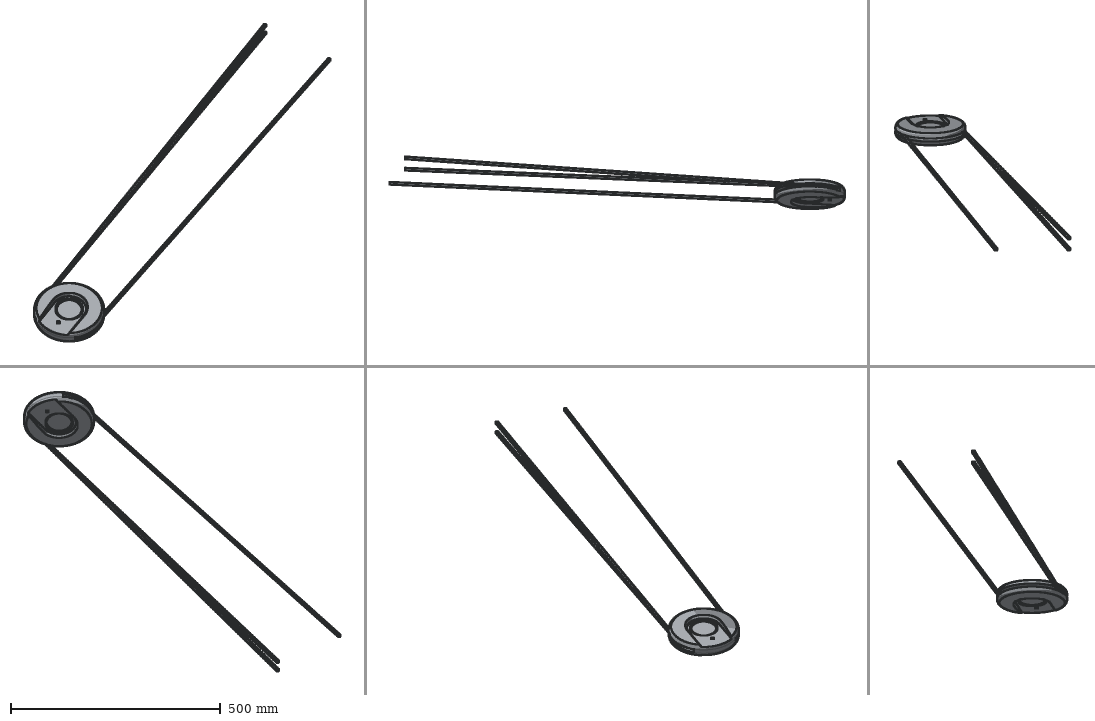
import cadquery as cq
import math

sheave_diameter = 168.0
face_diameter = 156.0
rim_half_height = 4.9
face_edge_half_height = 15.0
apex_half_height = 25.0
sheave_radius = sheave_diameter / 2
face_radius = face_diameter / 2
rim_edge_inset = sheave_radius - face_radius
rim_edge_height = face_edge_half_height - rim_half_height
rim_edge_radius = (rim_edge_inset**2 + rim_edge_height**2) / (2 * rim_edge_inset)

pocket_floor_half_height = 12.0
pocket_floor_radius = 40.0
pocket_top_radius = 48.0
recess_floor_diameter = 60.0
recess_top_diameter = 66.0
recess_depth = 2.0
pin_hole_diameter = 6.8
pin_hole_offset = 49.0
pin_hole_depth = 5.0

rope_diameter = 6.8
groove_width = 8.0
pitch_radius = 73.0
wrap_angle = 48
fleet_angle = 2.0
rise_angle = 0.8
rope_end_y = 1084 - sheave_radius
left_rope_rise = rope_end_y * math.tan(math.radians(rise_angle))

rope_radius = rope_diameter / 2
groove_radius = groove_width / 2


def polar(radius, angle):
    """Point in the XY plane at the given angle in degrees."""
    return (radius * math.cos(math.radians(angle)), radius * math.sin(math.radians(angle)))


def make_disc():
    profile = (
        cq.Workplane("XZ")
        .moveTo(0, -apex_half_height)
        .lineTo(face_radius, -face_edge_half_height)
        .radiusArc((sheave_radius, -rim_half_height), -rim_edge_radius)
        .lineTo(sheave_radius, rim_half_height)
        .radiusArc((face_radius, face_edge_half_height), -rim_edge_radius)
        .lineTo(0, apex_half_height)
        .close()
    )
    return profile.revolve(360, (0, 0), (0, 1))


def u_outline(plane, radius):
    """Closed U with its round end on the sheave axis and its legs past the rim at -Y."""
    return (
        plane.moveTo(-radius, -2 * sheave_radius)
        .lineTo(-radius, 0)
        .threePointArc((0, radius), (radius, 0))
        .lineTo(radius, -2 * sheave_radius)
        .close()
    )


def make_pocket():
    """Cutter for the upper face: U pocket with leaning walls, round recess and blind pin hole."""
    depth = apex_half_height - pocket_floor_half_height
    lean = math.degrees(math.atan((pocket_top_radius - pocket_floor_radius) / depth))
    floor = cq.Workplane("XY").workplane(offset=pocket_floor_half_height)
    pocket = u_outline(floor, pocket_floor_radius).extrude(depth, taper=-lean)
    recess = (
        cq.Workplane("XY").workplane(offset=pocket_floor_half_height - recess_depth)
        .circle(recess_floor_diameter / 2)
        .workplane(offset=recess_depth)
        .circle(recess_top_diameter / 2)
        .loft()
    )
    pin_hole = (
        floor.center(0, -pin_hole_offset)
        .circle(pin_hole_diameter / 2)
        .extrude(-pin_hole_depth)
    )
    return pocket.union(recess).union(pin_hole)


def make_groove():
    """Round-bottomed groove, absent from the sector around -Y."""
    profile = (
        cq.Workplane("XZ")
        .moveTo(2 * sheave_radius, groove_radius)
        .lineTo(pitch_radius, groove_radius)
        .threePointArc((pitch_radius - groove_radius, 0), (pitch_radius, -groove_radius))
        .lineTo(2 * sheave_radius, -groove_radius)
        .close()
    )
    sweep = 180 + 2 * wrap_angle
    ring = profile.revolve(sweep, (0, 0), (0, 1))
    return ring.rotate((0, 0, 0), (0, 0, 1), -wrap_angle)


def make_sheave():
    pocket = make_pocket()
    return make_disc().cut(pocket).cut(pocket.mirror("XY")).cut(make_groove())


def make_wrap(start_angle, sweep):
    """Rope lying in the groove, counter-clockwise from the start angle."""
    section = cq.Workplane("XZ").center(pitch_radius, 0).circle(rope_radius)
    arc = section.revolve(sweep, (-pitch_radius, 0), (-pitch_radius, 1))
    return arc.rotate((0, 0, 0), (0, 0, 1), start_angle)


def make_straight(start, end):
    """Straight rope between two points, cut square to Y at the far end."""
    overrun = rope_diameter
    direction = cq.Vector(*end) - cq.Vector(*start)
    length = direction.Length + overrun
    rope = cq.Workplane(cq.Plane(start, (0, 0, 1), direction)).circle(rope_radius).extrude(length)
    keep = cq.Workplane("XY").box(4 * pitch_radius, 2 * rope_end_y, 4 * left_rope_rise)
    return rope.intersect(keep)


def make_left_rope(side):
    """Rope leaving the groove at -X; side is +1 for the rising one and -1 for the falling one.

    Where the two ropes run together they meet on the plane Z = 0. The rising rope also
    carries the full round length that lies in the groove.
    """
    slope = side * left_rope_rise / rope_end_y
    start = (-pitch_radius, -rope_diameter, -slope * rope_diameter)
    rope = make_straight(start, (-pitch_radius, rope_end_y, side * left_rope_rise))
    quarter_space = (
        cq.Workplane("XY")
        .box(4 * pitch_radius, 2 * rope_end_y, 4 * left_rope_rise)
        .translate((0, rope_end_y, side * 2 * left_rope_rise))
    )
    rope = rope.intersect(quarter_space)
    if side > 0:
        rope = rope.union(make_wrap(180, wrap_angle))
    return rope


def make_right_rope():
    start_x, start_y = polar(pitch_radius, -fleet_angle)
    end_x = start_x + (rope_end_y - start_y) * math.tan(math.radians(fleet_angle))
    straight = make_straight((start_x, start_y, 0), (end_x, rope_end_y, 0))
    return straight.union(make_wrap(-wrap_angle, wrap_angle - fleet_angle))


sheave = make_sheave()
left_ropes = [make_left_rope(side) for side in (1, -1)]
right_rope = make_right_rope()

result = cq.Compound.makeCompound(
    [sheave.val(), *[rope.val() for rope in left_ropes], right_rope.val()]
)